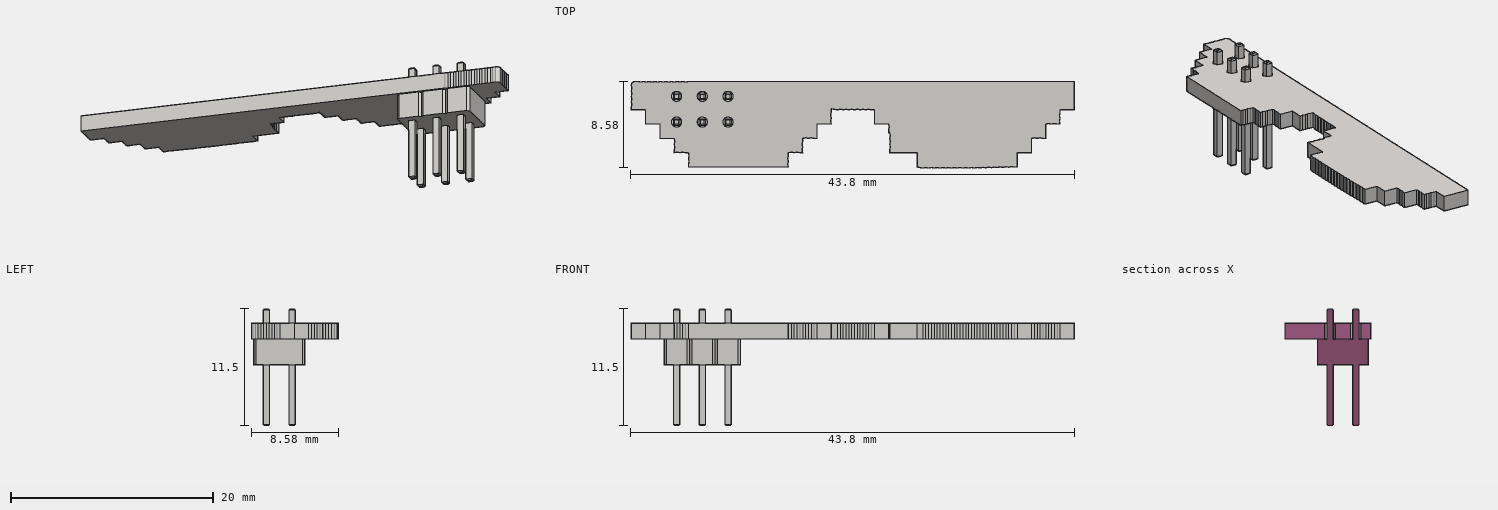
import cadquery as cq
import math

board_length = 43.76
board_thickness = 1.6
cells_along_length = 31
cells_along_depth = 6
cell = board_length / cells_along_length
board_left = -board_length / 2
overall_depth = 8.58
lens_sag = overall_depth - cells_along_depth * cell
back_corner_radius = 0.4

ripple_pitch = 0.28
ripple_depth = 0.06

bridge_notch_width = 0.6
bridge_notch_depth = 0.1
lens_side_jog = 0.1
jog_row = 3.6
sag_start_column = 20.4
sag_end_column = 24

pin_columns = 3
pin_rows = 2
pin_pitch = 2.54
pin_width = 0.64
pin_length = 11.54
pin_above_board = 1.4
pin_tip_chamfer = 0.13
pin_hole_diameter = 1.0
first_pin_from_left = 4.48
back_row_from_back = 1.48
block_length = 7.55
block_depth = 5.05
block_height = 2.54
block_corner_chamfer = 0.25

slab_length = block_length / pin_columns
block_centre_x = board_left + first_pin_from_left + (pin_columns - 1) * pin_pitch / 2
block_centre_y = -back_row_from_back - (pin_rows - 1) * pin_pitch / 2
pin_top = board_thickness + pin_above_board

pin_positions = [
    (
        block_centre_x + (column - (pin_columns - 1) / 2) * pin_pitch,
        block_centre_y + (row - (pin_rows - 1) / 2) * pin_pitch,
    )
    for column in range(pin_columns)
    for row in range(pin_rows)
]


def grid(column, row):
    """Point on the step grid, counted from the back left corner of the board."""
    return (board_left + column * cell, -row * cell)


def shifted(point, dx, dy):
    return (point[0] + dx, point[1] + dy)


def rippled_edge(outline, start, end):
    """Saw-tooth from start to end; every other point is pushed into the board.

    The outline runs counter-clockwise, so the board lies to the left of the edge.
    """
    run_x = end[0] - start[0]
    run_y = end[1] - start[1]
    length = math.hypot(run_x, run_y)
    tooth_sides = round(length / ripple_pitch)
    for index in range(1, tooth_sides):
        along = index / tooth_sides
        inset = ripple_depth if index % 2 else 0
        outline = outline.lineTo(
            start[0] + run_x * along - inset * run_y / length,
            start[1] + run_y * along + inset * run_x / length,
        )
    return outline.lineTo(*end)


def follow(outline, start, edges):
    """Add a run of edges, each given as (end point, is it rippled)."""
    for end, rippled in edges:
        if rippled:
            outline = rippled_edge(outline, start, end)
        else:
            outline = outline.lineTo(*end)
        start = end
    return outline


def make_board():
    back_left = grid(0, 0)
    left_arc_end = shifted(back_left, 0, -back_corner_radius)
    back_arc_end = shifted(back_left, back_corner_radius, 0)
    arc_inset = back_corner_radius * (1 - math.sqrt(0.5))
    arc_middle = shifted(back_left, arc_inset, -arc_inset)

    left_lens = [
        (grid(0, 2), True),
        (grid(1, 2), False),
        (grid(1, 3), False),
        (grid(2, 3), False),
        (grid(2, 4), False),
        (grid(3, 4), False),
        (grid(3, 5), True),
        (grid(4, 5), True),
        (grid(4, 6), True),
        (grid(11, 6), False),
        (grid(11, 5), True),
        (grid(12, 5), True),
        (grid(12, 4), True),
        (grid(13, 4), True),
        (grid(13, 3), False),
        (grid(14, 3), False),
    ]
    bridge = [
        (shifted(grid(14, 2), 0, bridge_notch_depth), True),
        (shifted(grid(14, 2), bridge_notch_width, 0), False),
        (grid(17, 2), True),
    ]
    right_lens = [
        (grid(17, 3), False),
        (grid(18, 3), False),
        (grid(18, jog_row), True),
        (shifted(grid(18, jog_row), lens_side_jog, 0), False),
        (shifted(grid(18, 5), lens_side_jog, 0), True),
        (grid(20, 5), False),
        (grid(20, 6), False),
        (shifted(grid(sag_start_column, 6), 0, -lens_sag), False),
        (shifted(grid(sag_end_column, 6), 0, -lens_sag), True),
        (grid(27, 6), True),
        (grid(27, 5), False),
        (grid(28, 5), False),
        (grid(28, 4), False),
        (grid(29, 4), True),
        (grid(29, 3), False),
        (grid(30, 3), True),
        (grid(30, 2), True),
        (grid(31, 2), False),
    ]
    back = [
        (grid(31, 0), False),
        (grid(4, 0), False),
        (back_arc_end, True),
    ]
    outline = cq.Workplane("XY").moveTo(*left_arc_end)
    outline = follow(outline, left_arc_end, left_lens + bridge + right_lens + back)
    outline = outline.threePointArc(arc_middle, left_arc_end).close()
    plate = outline.extrude(board_thickness)

    pin_holes = (
        cq.Workplane("XY")
        .pushPoints(pin_positions)
        .circle(pin_hole_diameter / 2)
        .extrude(board_thickness)
    )
    return plate.cut(pin_holes)


def make_insulator_block():
    """One chamfered slab per pin column; the chamfers meet in V-grooves front and back."""
    block = cq.Workplane("XY")
    for column in range(pin_columns):
        slab_x = block_centre_x + (column - (pin_columns - 1) / 2) * slab_length
        slab = (
            cq.Workplane("XY")
            .box(slab_length, block_depth, block_height)
            .edges("|Z")
            .chamfer(block_corner_chamfer)
            .translate((slab_x, block_centre_y, -block_height / 2))
        )
        block = block.union(slab)
    return block


def make_header():
    header = make_insulator_block()
    for x, y in pin_positions:
        pin = (
            cq.Workplane("XY")
            .box(pin_width, pin_width, pin_length)
            .faces("<Z or >Z")
            .chamfer(pin_tip_chamfer)
            .translate((x, y, pin_top - pin_length / 2))
        )
        header = header.union(pin)
    return header


board = make_board()
header = make_header()

result = cq.Compound.makeCompound([board.val(), header.val()])